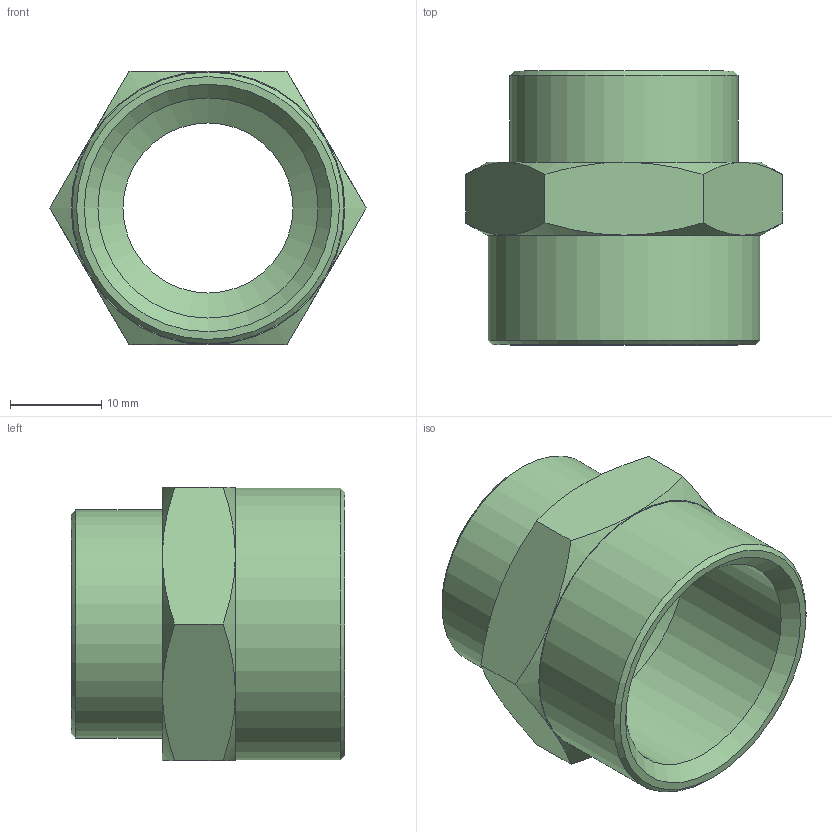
import cadquery as cq
import math

socket_length = 12.0
hex_length = 8.0
tail_length = 10.0
hex_start = socket_length
hex_end = hex_start + hex_length
total_length = hex_end + tail_length

socket_diameter = 29.8
tail_diameter = 25.0
hex_across_flats = 30.0
hex_across_corners = hex_across_flats / math.cos(math.radians(30))
rim_chamfer = 0.5
hex_chamfer_angle = 30.0

bore_diameter = 18.63
socket_bore_diameter = 24.12
mouth_chamfer = 1.5
socket_bore_depth = 16.5
floor_angle = 60.0


def revolve_profile(points):
    """Turn a closed (radius, Y) profile about the Y axis."""
    return cq.Workplane("XY").polyline(points).close().revolve(360, (0, 0, 0), (0, 1, 0))


def make_barrel(diameter, start, length):
    """Cylinder along +Y from the given start."""
    return cq.Workplane("XZ", origin=(0, start, 0)).circle(diameter / 2).extrude(-length)


def make_hexagon():
    """Hexagon with corners on the X axis, its corners turned down at both ends."""
    prism = (
        cq.Workplane("XZ", origin=(0, hex_start, 0))
        .polygon(6, hex_across_corners)
        .extrude(-hex_length)
    )
    flat_radius = hex_across_flats / 2
    corner_radius = hex_across_corners / 2
    corner_drop = (corner_radius - flat_radius) * math.tan(math.radians(hex_chamfer_angle))
    envelope = revolve_profile([
        (0, hex_start),
        (flat_radius, hex_start),
        (corner_radius, hex_start + corner_drop),
        (corner_radius, hex_end - corner_drop),
        (flat_radius, hex_end),
        (0, hex_end),
    ])
    return prism.intersect(envelope)


def make_bore():
    """Mouth lead-in, socket bore, conical floor and through bore."""
    bore_radius = bore_diameter / 2
    socket_radius = socket_bore_diameter / 2
    floor_depth = (socket_radius - bore_radius) / math.tan(math.radians(floor_angle))
    return revolve_profile([
        (0, 0),
        (socket_radius + mouth_chamfer, 0),
        (socket_radius, mouth_chamfer),
        (socket_radius, socket_bore_depth),
        (bore_radius, socket_bore_depth + floor_depth),
        (bore_radius, total_length),
        (0, total_length),
    ])


socket = make_barrel(socket_diameter, 0, socket_length).faces("<Y").chamfer(rim_chamfer)
tail = make_barrel(tail_diameter, hex_end, tail_length).faces(">Y").chamfer(rim_chamfer)

result = socket.union(make_hexagon()).union(tail).cut(make_bore())